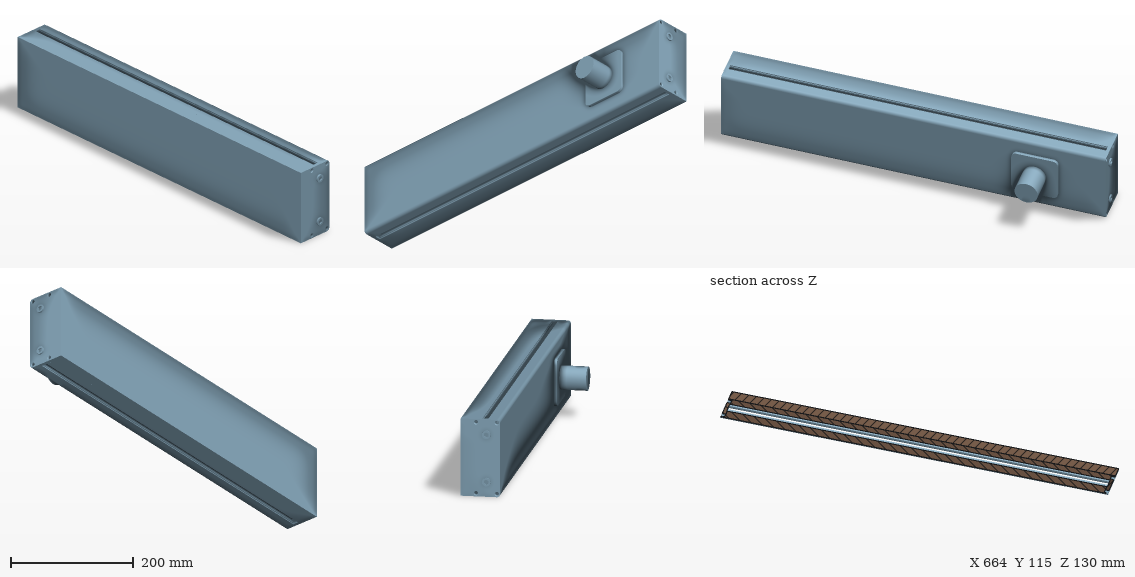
import cadquery as cq

TOTAL_LENGTH = 664.0
TOTAL_DEPTH = 115.0
HEIGHT = 130.0

HEAD_HEIGHT = 2.5
HEAD_DIAMETER = 14.0
HEAD_SPACING = 80.0
SOCKET_ACROSS_CORNERS = 8.5
SOCKET_DEPTH = 2.5

PAD_THICKNESS = 20.0
RAIL_DEPTH = 45.0
RAIL_BACK = PAD_THICKNESS + RAIL_DEPTH
RAIL_MIDDLE = PAD_THICKNESS + RAIL_DEPTH / 2

BODY_LENGTH = TOTAL_LENGTH - 2 * HEAD_HEIGHT
PLATE_THICKNESS = 6.0
RAIL_LENGTH = BODY_LENGTH - 2 * PLATE_THICKNESS
BACK_EDGE_RADIUS = 5.0

SLOT_MIDDLE = 40.0
SLOT_MOUTH_WIDTH = 10.0
SLOT_MOUTH_DEPTH = 2.0
SLOT_WIDTH = 8.0
SLOT_LIP_DEPTH = 5.0
SLOT_CAVITY_WIDTH = 16.0
SLOT_DEPTH = 10.5

CORNER_INSET = 5.0
CORNER_HOLE_DIAMETER = 5.0
CORNER_SINK_DIAMETER = 7.0
CORNER_SINK_ANGLE = 90

FLANGE_SIZE = 80.0
FLANGE_THICKNESS = 5.0
FLANGE_CORNER_RADIUS = 9.0
TUBE_DIAMETER = 40.0
SPIGOT_FROM_END = 120.0
SPIGOT_X = SPIGOT_FROM_END - BODY_LENGTH / 2


def block(length, front, depth):
    """Full-height block centred on X and Z, starting at Y = front."""
    return cq.Workplane("XY").box(length, depth, HEIGHT).translate((0, front + depth / 2, 0))


def rounded_section(length):
    """Block with the rail's cross-section, rounded along its two back edges."""
    return block(length, PAD_THICKNESS, RAIL_DEPTH).edges("|X and >Y").fillet(BACK_EDGE_RADIUS)


def make_pad():
    """Plain front pad, as long as the rail and both end plates together."""
    return block(BODY_LENGTH, 0, PAD_THICKNESS)


def make_slot_cutter():
    """Full-length T-shaped bar with a wider mouth, placed in the upper side of the rail."""
    top = cq.Workplane("XY", origin=(0, SLOT_MIDDLE, HEIGHT / 2))
    mouth = top.rect(RAIL_LENGTH, SLOT_MOUTH_WIDTH).extrude(-SLOT_MOUTH_DEPTH)
    channel = top.rect(RAIL_LENGTH, SLOT_WIDTH).extrude(-SLOT_LIP_DEPTH)
    cavity = (
        top.workplane(offset=-SLOT_LIP_DEPTH)
        .rect(RAIL_LENGTH, SLOT_CAVITY_WIDTH)
        .extrude(SLOT_LIP_DEPTH - SLOT_DEPTH)
    )
    return mouth.union(channel).union(cavity)


def make_rail():
    """Long rail with a slot in its upper side and a matching one below."""
    slot = make_slot_cutter()
    return rounded_section(RAIL_LENGTH).cut(slot).cut(slot.mirror("XY"))


def make_left_plate():
    """End plate at the -X end, with its screw heads and corner holes."""
    plate = rounded_section(PLATE_THICKNESS).translate(((PLATE_THICKNESS - BODY_LENGTH) / 2, 0, 0))

    outer_face = cq.Workplane(
        cq.Plane(origin=(-BODY_LENGTH / 2, RAIL_MIDDLE, 0), xDir=(0, 0, 1), normal=(-1, 0, 0))
    )
    heads = outer_face.rarray(HEAD_SPACING, 6.5, 2, 1).circle(HEAD_DIAMETER / 2).extrude(HEAD_HEIGHT)
    sockets = (
        outer_face.workplane(offset=HEAD_HEIGHT)
        .rarray(HEAD_SPACING, 6.5, 2, 1)
        .polygon(6, SOCKET_ACROSS_CORNERS)
        .extrude(-SOCKET_DEPTH)
    )
    return (
        plate.copyWorkplane(outer_face)
        .rarray(HEIGHT - 2 * CORNER_INSET, RAIL_DEPTH - 2 * CORNER_INSET, 2, 2)
        .cskHole(CORNER_HOLE_DIAMETER, CORNER_SINK_DIAMETER, CORNER_SINK_ANGLE, PLATE_THICKNESS)
        .union(heads)
        .cut(sockets)
    )


def make_spigot():
    """Square flange with a round tube standing on it."""
    rail_back = cq.Workplane("XZ", origin=(SPIGOT_X, RAIL_BACK, 0))
    flange = (
        rail_back.rect(FLANGE_SIZE, FLANGE_SIZE)
        .extrude(-FLANGE_THICKNESS)
        .edges("|Y")
        .fillet(FLANGE_CORNER_RADIUS)
    )
    tube = rail_back.circle(TUBE_DIAMETER / 2).extrude(-(TOTAL_DEPTH - RAIL_BACK))
    return flange.union(tube)


pad = make_pad()
rail = make_rail()
left_plate = make_left_plate()
right_plate = left_plate.mirror("YZ")
spigot = make_spigot()

bodies = [pad, rail, left_plate, right_plate, spigot]
result = cq.Compound.makeCompound([body.solids().val() for body in bodies])